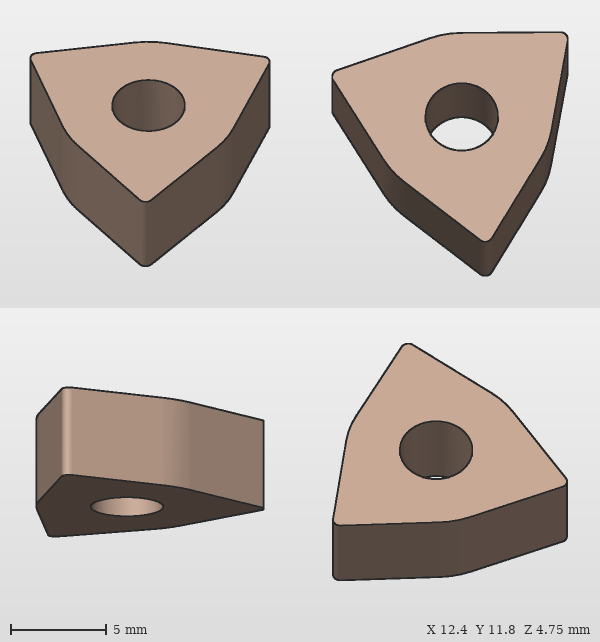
import cadquery as cq
import math

overall_width = 12.38
thickness = 4.75
hole_diameter = 3.81
nose_radius = 0.4
corner_angle = 80.0
corner_count = 3
first_corner_direction = 220.0

corner_pitch = 360.0 / corner_count
half_corner = math.radians(corner_angle / 2)
touch_offset = 90.0 - corner_angle / 2
corner_directions = [first_corner_direction + i * corner_pitch for i in range(corner_count)]
corner_cosines = [math.cos(math.radians(direction)) for direction in corner_directions]
nose_center_span = max(corner_cosines) - min(corner_cosines)
nose_center_distance = (overall_width - 2 * nose_radius) / nose_center_span
inscribed_radius = nose_radius + nose_center_distance * math.sin(half_corner)


def polar(radius, degrees, center=(0.0, 0.0)):
    """Point at a radius and direction from a center."""
    angle = math.radians(degrees)
    return (center[0] + radius * math.cos(angle), center[1] + radius * math.sin(angle))


def insert_outline():
    """Three rounded corners joined by straight flanks and arcs of the inscribed circle."""
    start = polar(inscribed_radius, first_corner_direction - touch_offset)
    outline = cq.Workplane("XY").moveTo(*start)
    for direction in corner_directions:
        before = direction - touch_offset
        after = direction + touch_offset
        next_before = before + corner_pitch
        nose_center = polar(nose_center_distance, direction)

        outline = outline.lineTo(*polar(nose_radius, before, nose_center))
        outline = outline.threePointArc(
            polar(nose_radius, direction, nose_center),
            polar(nose_radius, after, nose_center),
        )
        outline = outline.lineTo(*polar(inscribed_radius, after))
        outline = outline.threePointArc(
            polar(inscribed_radius, (after + next_before) / 2),
            polar(inscribed_radius, next_before),
        )
    return outline.close()


body = insert_outline().extrude(thickness)
hole = cq.Workplane("XY").circle(hole_diameter / 2).extrude(thickness)
result = body.cut(hole)